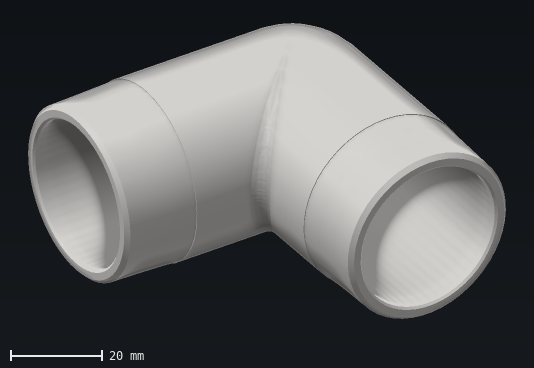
import cadquery as cq

tube_diameter = 42.5
bore_diameter = 34.7
arm_reach = 56.0
spigot_length = 17.9
shoulder_step = 0.2
taper_drop = 0.5
rim_chamfer = 1.0
mouth_chamfer = 0.5
crotch_radius = 3.0

tube_radius = tube_diameter / 2
bore_radius = bore_diameter / 2
spigot_start = arm_reach - spigot_length
spigot_radius = tube_radius - shoulder_step
rim_radius = spigot_radius - taper_drop

ORIGIN = cq.Vector(0, 0, 0)
ARM_DIRECTIONS = (cq.Vector(1, 0, 0), cq.Vector(0, -1, 0))


def elbow(radius, length):
    """Two perpendicular round bars joined by a ball at the corner."""
    body = cq.Workplane().sphere(radius)
    for direction in ARM_DIRECTIONS:
        body = body.union(cq.Workplane(cq.Solid.makeCylinder(radius, length, ORIGIN, direction)))
    return body


def filleted_elbow():
    """Outer elbow with the mitre seam rounded in the inside corner."""
    body = elbow(tube_radius, spigot_start)
    margin = 1.0
    seam_limit = tube_radius + margin
    seam_region = cq.selectors.BoxSelector(
        (margin, -seam_limit, -seam_limit),
        (seam_limit, -margin, seam_limit),
    )
    seam = body.edges("%ELLIPSE").edges(seam_region)
    return seam.fillet(crotch_radius)


def cone_along(direction, start, length, start_radius, end_radius):
    """Solid cone frustum on an arm axis, beginning a distance from the elbow centre."""
    return cq.Workplane(
        cq.Solid.makeCone(start_radius, end_radius, length, direction * start, direction)
    )


def spigot(direction):
    """Tapered end of one arm with its chamfered rim."""
    taper_length = spigot_length - rim_chamfer
    taper = cone_along(direction, spigot_start, taper_length, spigot_radius, rim_radius)
    rim = cone_along(
        direction, arm_reach - rim_chamfer, rim_chamfer, rim_radius, rim_radius - rim_chamfer
    )
    return taper.union(rim)


def mouth(direction):
    """Countersink that opens the bore at the end of one arm."""
    return cone_along(
        direction, arm_reach - mouth_chamfer, mouth_chamfer, bore_radius, bore_radius + mouth_chamfer
    )


result = filleted_elbow()
for arm_direction in ARM_DIRECTIONS:
    result = result.union(spigot(arm_direction))

result = result.cut(elbow(bore_radius, arm_reach))
for arm_direction in ARM_DIRECTIONS:
    result = result.cut(mouth(arm_direction))